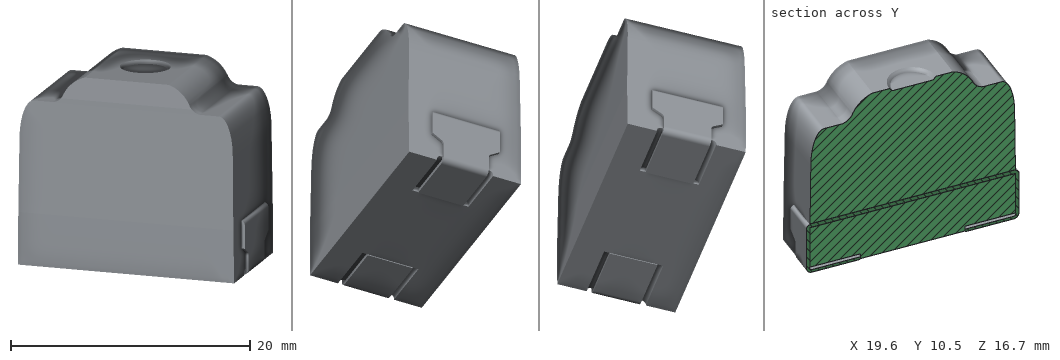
import cadquery as cq
import math

length = 19.57
depth = 10.45
height = 16.73

standoff = 0.08
parting_z = 4.65
base_half_length = 9.53
ellipse_z = 11.04
ellipse_half_length = 9.4
shoulder_z = 14.4
shoulder_flat_half = 8.15
boss_foot_half = 6.45
boss_bend_x = 5.54
boss_bend_z = 15.17
boss_top_half = 3.7
foot_sag = 0.15
flank_sag = 0.25

bottom_half_depth = 5.19
top_half_depth = 5.07
boss_band_z = 14.36
boss_face_z = 14.8
boss_face_lean = 0.08

dish_top_radius = 2.15
dish_floor_radius = 1.85
dish_depth = 0.3

groove_half_width = 2.6
groove_top_z = 0.57
groove_corner_radius = 0.4

lead_thickness = 0.31
lead_top_z = 4.97
top_bend_radius = 0.37
bottom_bend_radius = 0.53
foot_inner_x = 4.81
wide_half = 3.11
narrow_half = 2.1
taper_top_z = 2.56
taper_bottom_z = 1.94
taper_fillet = 0.4


def bowed_mid(start, end, sag):
    """Middle point of an arc that bows to the left of start-to-end by sag."""
    dx = end[0] - start[0]
    dz = end[1] - start[1]
    chord = math.hypot(dx, dz)
    return ((start[0] + end[0]) / 2 - sag * dz / chord, (start[1] + end[1]) / 2 + sag * dx / chord)


def make_side_profile():
    """Half outline in XZ, extruded through the depth and mirrored."""
    foot = (boss_foot_half, shoulder_z)
    bend = (boss_bend_x, boss_bend_z)
    crown = (boss_top_half, height)
    half = (
        cq.Workplane("XZ", origin=(0, depth / 2, 0))
        .moveTo(0, standoff)
        .lineTo(base_half_length, standoff)
        .lineTo(ellipse_half_length, ellipse_z)
        .ellipseArc(
            ellipse_half_length - shoulder_flat_half, shoulder_z - ellipse_z, 0, 90, startAtCurrent=True
        )
        .lineTo(*foot)
        .threePointArc(bowed_mid(foot, bend, foot_sag), bend)
        .threePointArc(bowed_mid(bend, crown, -flank_sag), crown)
        .lineTo(0, height)
        .close()
        .extrude(depth)
    )
    return half.union(half.mirror("YZ"))


def make_end_profile():
    """Drafted outline in YZ, extruded through the length."""
    draft = (depth / 2 - top_half_depth) / (height - parting_z)
    face_half_depth = depth / 2 - draft * (boss_band_z - parting_z)
    return (
        cq.Workplane("YZ", origin=(-length / 2, 0, 0))
        .polyline([
            (-bottom_half_depth, standoff),
            (bottom_half_depth, standoff),
            (depth / 2, parting_z),
            (top_half_depth, height),
            (boss_face_lean - top_half_depth, height),
            (-face_half_depth, boss_face_z),
            (-face_half_depth, boss_band_z),
            (-depth / 2, parting_z),
        ])
        .close()
        .extrude(length)
    )


def make_dish():
    return (
        cq.Workplane("XY", origin=(0, 0, height - dish_depth))
        .circle(dish_floor_radius)
        .workplane(offset=dish_depth)
        .circle(dish_top_radius)
        .loft()
    )


def make_groove(side):
    """Groove that is open at the bottom and at one end; side is -1 or 1."""
    run = length / 2 - foot_inner_x
    return (
        cq.Workplane("XY")
        .box(run, 2 * groove_half_width, groove_top_z, centered=(True, True, False))
        .edges("|X and >Z")
        .fillet(groove_corner_radius)
        .translate((side * (foot_inner_x + run / 2), 0, 0))
    )


def make_bent_strip():
    """Closed band with rounded bends, open between the two feet."""
    inner_height = lead_top_z - 2 * lead_thickness

    def rounded_block(half_length, block_height, bottom_z, inset):
        return (
            cq.Workplane("XY")
            .box(2 * half_length, 2 * wide_half, block_height, centered=(True, True, False))
            .translate((0, 0, bottom_z))
            .edges("|Y and >Z")
            .fillet(top_bend_radius - inset)
            .edges("|Y and <Z")
            .fillet(bottom_bend_radius - inset)
        )

    outside = rounded_block(length / 2, lead_top_z, 0, 0)
    inside = rounded_block(length / 2 - lead_thickness, inner_height, lead_thickness, lead_thickness)
    foot_gap = cq.Workplane("XY").box(2 * foot_inner_x, 2 * wide_half, 2 * lead_thickness)
    return outside.cut(inside).cut(foot_gap)


def make_lead_outline():
    """Lead width seen along X: wide at the top, narrow at the foot."""
    outline = (
        cq.Workplane("YZ", origin=(-length / 2, 0, 0))
        .polyline([
            (-narrow_half, 0),
            (narrow_half, 0),
            (narrow_half, taper_bottom_z),
            (wide_half, taper_top_z),
            (wide_half, lead_top_z),
            (-wide_half, lead_top_z),
            (-wide_half, taper_top_z),
            (-narrow_half, taper_bottom_z),
        ])
        .close()
        .extrude(length)
    )
    neck_zone = cq.selectors.BoxSelector(
        (-length, -narrow_half - lead_thickness, lead_thickness),
        (length, narrow_half + lead_thickness, taper_top_z - lead_thickness),
    )
    return outline.edges("|X").edges(neck_zone).fillet(taper_fillet)


def make_lead_frame():
    return make_bent_strip().intersect(make_lead_outline())


def make_housing(lead_frame):
    housing = make_side_profile().intersect(make_end_profile()).cut(make_dish())
    for side in (-1, 1):
        housing = housing.cut(make_groove(side))
    return housing.cut(lead_frame)


lead_frame = make_lead_frame()
housing = make_housing(lead_frame)

result = cq.Compound.makeCompound([housing.val(), lead_frame.val()])